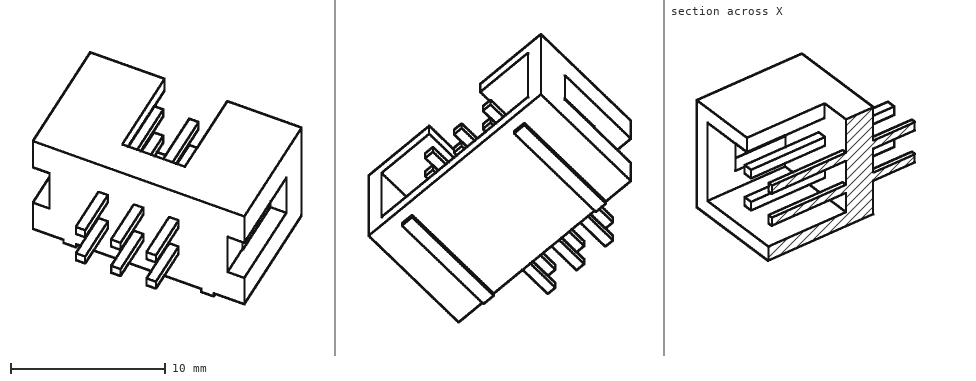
import cadquery as cq

HOUSING_WIDTH = 15.2
HOUSING_DEPTH = 8.6
HOUSING_HEIGHT = 8.5
WALL = 1.15
BASE_THICKNESS = 2.25

SLOT_HEIGHT = 3.4
SLOT_LENGTH = 6.3
BASE_RECESS_DEPTH = 1.2

KEY_WIDTH = 4.5

RIB_WIDTH = 0.9
RIB_HEIGHT = 0.3
RIB_LENGTH = 7.8
RIB_SPACING = 9.9

PIN_SIZE = 0.68
PIN_PITCH = 2.54
PIN_COLUMNS = 3
PIN_ROWS = 2
PIN_TAIL = 3.4
PIN_TIP_SETBACK = 0.3


def block(width, depth, height, x, y_start, z):
    """Box centred on x and z that extends in +Y from y_start."""
    centre_y = y_start + depth / 2
    return cq.Workplane("XY").box(width, depth, height).translate((x, centre_y, z))


def make_housing():
    """Box hollowed from the +Y mouth down to the base."""
    cavity_depth = HOUSING_DEPTH - BASE_THICKNESS
    cavity_width = HOUSING_WIDTH - 2 * WALL
    cavity_height = HOUSING_HEIGHT - 2 * WALL
    outer = block(HOUSING_WIDTH, HOUSING_DEPTH, HOUSING_HEIGHT, 0, 0, 0)
    cavity = block(cavity_width, cavity_depth, cavity_height, 0, BASE_THICKNESS, 0)
    return outer.cut(cavity)


def cut_end_slots(body):
    """Slot each end wall into the cavity and recess the matching end of the base."""
    for side in (-1, 1):
        slot_x = side * (HOUSING_WIDTH - BASE_RECESS_DEPTH) / 2
        body = body.cut(block(BASE_RECESS_DEPTH, SLOT_LENGTH, SLOT_HEIGHT, slot_x, 0, 0))
    return body


def cut_key_notch(body):
    """Open the top wall from the mouth to the base."""
    notch_depth = HOUSING_DEPTH - BASE_THICKNESS
    notch_z = (HOUSING_HEIGHT - WALL) / 2
    return body.cut(block(KEY_WIDTH, notch_depth, WALL, 0, BASE_THICKNESS, notch_z))


def add_ribs(body):
    """Add the two ribs that run back from the pin face along the underside."""
    rib_z = -(HOUSING_HEIGHT + RIB_HEIGHT) / 2
    for side in (-1, 1):
        rib_x = side * RIB_SPACING / 2
        body = body.union(block(RIB_WIDTH, RIB_LENGTH, RIB_HEIGHT, rib_x, 0, rib_z))
    return body


def add_pins(body):
    """Add the grid of pins that pass through the base."""
    pin_length = PIN_TAIL + HOUSING_DEPTH - PIN_TIP_SETBACK
    for column in range(PIN_COLUMNS):
        pin_x = (column - (PIN_COLUMNS - 1) / 2) * PIN_PITCH
        for row in range(PIN_ROWS):
            pin_z = (row - (PIN_ROWS - 1) / 2) * PIN_PITCH
            body = body.union(block(PIN_SIZE, pin_length, PIN_SIZE, pin_x, -PIN_TAIL, pin_z))
    return body


housing = make_housing()
housing = cut_end_slots(housing)
housing = cut_key_notch(housing)
housing = add_ribs(housing)
result = add_pins(housing)